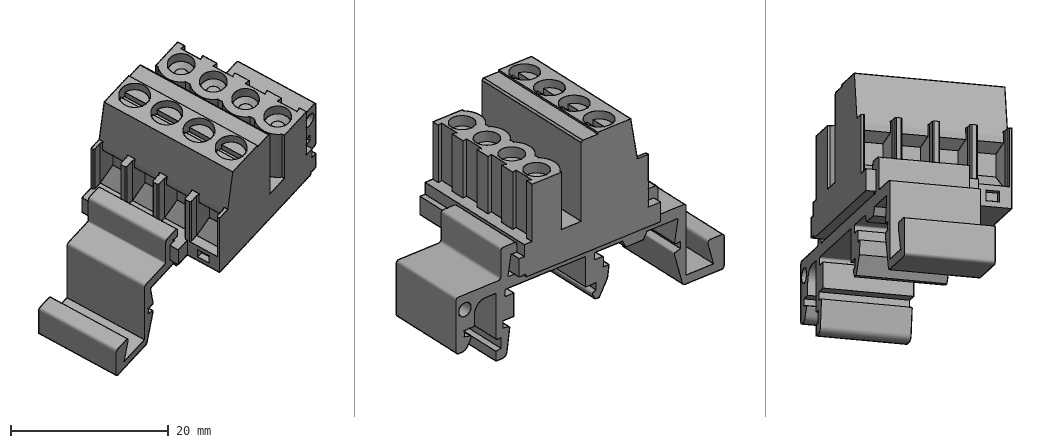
import cadquery as cq
import math


carrier_length = 43.7
carrier_width = 12.05
carrier_left = 1.5
plate_thickness = 1.7
plate_bottom = -plate_thickness
edge_radius = 0.45
small_radius = 0.2

rear_hook_outer = 36.4
rear_hook_tip = 33.8
rear_hook_top = 4.65
rear_hook_under = 3.1
front_hook_outer = 10.85
front_hook_inner = 12.5
front_hook_tip = 13.4
front_hook_top = 4.45
front_hook_under = 2.9

foot_bottom = -11.85
foot_floor = -10.55
foot_lip_top = -6.75
foot_wall = 6.2

shoulder = -2.75
groove_top = -6.2
groove_bottom = -7.25
outer_groove_top = -5.3
outer_groove_bottom = -6.3

pivot_hole_diameter = 2.0
pivot_hole_y = carrier_length - 1.45
pivot_hole_z = -2.25

pole_count = 4
plug_width = 20.0
pitch = plug_width / pole_count
plug_front = 13.55
plug_ledge = 34.6
plug_rear = rear_hook_tip
shoulder_top = 4.85

flange_front = 11.6
flange_width = 15.0
flange_height = 2.9
flange_clearance = 0.15

tower_top = 16.95
tower_step = 0.25
tower_rear = 24.5
tower_step_y = 21.8
tower_front = 16.45
slope_foot = 15.35
rib_top = 10.65

socket_top = 13.3
socket_rear = 32.5
socket_flat = 27.7
socket_center_y = 29.75
socket_round_radius = 2.95
socket_hole_diameter = 3.5
socket_pin_diameter = 1.8
socket_hole_depth = 1.55
socket_cone_depth = 0.45
notch_mouth = 2.75
notch_floor = 3.05
notch_depth = 0.65

screw_y = 19.58
screw_hole_diameter = 4.0
screw_diameter = 3.8
screw_recess = 1.15
screw_slot_width = 0.95
screw_slot_depth = 0.87

rib_width = 0.95
rib_chamfer = 0.17
funnel_mouth_y = 14.9
funnel_depth = 1.9
funnel_mouth_top = 9.35
funnel_end_width = 2.8
funnel_end_bottom = 5.03
funnel_end_top = 8.05

lintel_top = 10.0
slope_run = (slope_foot - tower_front) / (tower_top - rib_top)
lintel_y = slope_foot + slope_run * (rib_top - lintel_top)

window_left = 16.6
window_width = 1.8
window_bottom = 0.75
window_height = 1.4
window_depth = 0.87


def rounded_outline(plane, corners):
    """Closed wire from (u, v) or (u, v, radius) corners, rounding those with a radius."""
    runs = []
    for i, corner in enumerate(corners):
        point = cq.Vector(corner[0], corner[1], 0)
        if len(corner) == 2:
            runs.append([point])
            continue
        radius = corner[2]
        before = corners[i - 1]
        after = corners[(i + 1) % len(corners)]
        to_before = (cq.Vector(before[0], before[1], 0) - point).normalized()
        to_after = (cq.Vector(after[0], after[1], 0) - point).normalized()
        half_angle = to_before.getAngle(to_after) / 2
        setback = radius / math.tan(half_angle)
        apex_distance = radius / math.sin(half_angle) - radius
        bisector = (to_before + to_after).normalized()
        runs.append([
            point + to_before * setback,
            point + bisector * apex_distance,
            point + to_after * setback,
        ])

    outline = cq.Workplane(plane).moveTo(runs[0][-1].x, runs[0][-1].y)
    for run in runs[1:] + runs[:1]:
        outline = outline.lineTo(run[0].x, run[0].y)
        if len(run) == 3:
            outline = outline.threePointArc((run[1].x, run[1].y), (run[2].x, run[2].y))
    return outline.close()


def rear_hook():
    return [
        (rear_hook_outer, 0, edge_radius),
        (rear_hook_outer, rear_hook_top, edge_radius),
        (rear_hook_tip, rear_hook_top, edge_radius),
        (rear_hook_tip, rear_hook_under),
        (34.75, rear_hook_under),
        (35.25, 0, small_radius),
    ]


def front_hook():
    return [
        (front_hook_inner, 0),
        (front_hook_inner, front_hook_under),
        (front_hook_tip, front_hook_under),
        (front_hook_tip, front_hook_top, edge_radius),
        (front_hook_outer, front_hook_top, edge_radius),
        (front_hook_outer, 0, small_radius),
    ]


def front_foot():
    return [
        (foot_wall, 0, edge_radius),
        (foot_wall, foot_floor),
        (1.75, foot_floor),
        (2.8, foot_lip_top, edge_radius),
        (0, foot_lip_top, edge_radius),
        (0, foot_bottom, edge_radius),
        (6.75, foot_bottom, edge_radius),
        (8.17, outer_groove_bottom - 0.3, small_radius),
        (7.12, outer_groove_bottom),
        (7.12, outer_groove_top),
        (8.15, outer_groove_top, small_radius),
        (7.5, plate_bottom, small_radius),
    ]


def stop_rib():
    return [
        (12.6, plate_bottom),
        (13.2, shoulder),
        (16.05, shoulder),
        (16.55, plate_bottom),
    ]


def middle_leg():
    return [
        (21.15, plate_bottom, small_radius),
        (21.15, shoulder, small_radius),
        (19.65, shoulder, small_radius),
        (19.65, -4.33),
        (18.75, -4.33),
        (19.0, groove_top),
        (20.35, -8.55),
        (21.0, -8.55),
        (21.6, -7.55, small_radius),
        (20.9, groove_bottom),
        (20.9, groove_top),
        (22.6, groove_top),
        (22.6, plate_bottom, small_radius),
    ]


def rear_inner_leg():
    return [
        (35.75, plate_bottom, small_radius),
        (35.75, shoulder, small_radius),
        (34.25, shoulder),
        (34.25, groove_top),
        (36.0, groove_top),
        (36.0, groove_bottom),
        (34.9, -7.45, small_radius),
        (35.5, -11.7, 0.87),
        (37.2, -11.7),
        (37.2, -10.25),
        (36.4, -10.1),
        (36.4, -8.55),
        (37.2, -8.55, small_radius),
        (37.2, plate_bottom, small_radius),
    ]


def rear_outer_leg():
    return [
        (40.75, plate_bottom, 1.9),
        (40.75, outer_groove_top),
        (42.35, outer_groove_top),
        (42.35, groove_top),
        (41.1, -6.5, small_radius),
        (42.1, -8.35, 1.15),
        (carrier_length, -8.35, edge_radius),
        (carrier_length, 0, edge_radius),
    ]


def build_carrier():
    corners = (
        rear_hook() + front_hook() + front_foot() + stop_rib()
        + middle_leg() + rear_inner_leg() + rear_outer_leg()
    )
    body = rounded_outline("YZ", corners).extrude(carrier_width)
    hole = (
        cq.Workplane("YZ")
        .center(pivot_hole_y, pivot_hole_z)
        .circle(pivot_hole_diameter / 2)
        .extrude(carrier_width)
    )
    return body.cut(hole).translate((carrier_left, 0, 0))


def pole_x(index):
    return (index + 0.5) * pitch


def at_each_pole(shape):
    """Union of copies of a shape modelled at x = 0, one per pole."""
    copies = cq.Workplane("XY")
    for index in range(pole_count):
        copies = copies.add(shape.translate((pole_x(index), 0, 0)))
    return copies.combine()


def plug_body():
    ledge_bottom = 0.4
    step_top = tower_top - tower_step
    corners = [
        (plug_front, 0),
        (33.45, 0),
        (33.55, ledge_bottom),
        (plug_ledge, ledge_bottom),
        (plug_ledge, rear_hook_under),
        (plug_rear, rear_hook_under),
        (plug_rear, shoulder_top),
        (tower_rear, shoulder_top),
        (tower_rear, step_top - tower_step),
        (tower_rear - tower_step, step_top),
        (tower_step_y, step_top),
        (tower_step_y, tower_top),
        (tower_front, tower_top),
        (slope_foot, rib_top),
        (plug_front, rib_top),
    ]
    return rounded_outline("YZ", corners).extrude(plug_width)


def front_flange():
    flange_depth = plug_front - flange_front
    flange = cq.Workplane("XY").box(flange_width, flange_depth, flange_height, centered=False)
    hook_gap = cq.Workplane("XY").box(
        carrier_width + 2 * flange_clearance,
        front_hook_inner + flange_clearance - flange_front,
        flange_height,
        centered=False,
    )
    hook_gap = hook_gap.translate((carrier_left - flange_clearance, 0, 0))
    return flange.cut(hook_gap).translate((0, flange_front, 0))


def socket_row():
    """Rear row of test sockets: a bar with rounded bulges, notched at the back."""
    height = socket_top - shoulder_top
    bar = cq.Workplane("XY").box(plug_width, socket_rear - socket_flat, height, centered=False)
    bar = bar.translate((0, socket_flat, 0))
    bulges = at_each_pole(
        cq.Workplane("XY").center(0, socket_center_y).circle(socket_round_radius).extrude(height)
    )
    envelope = cq.Workplane("XY").box(plug_width, socket_center_y, height, centered=False)
    row = bar.union(bulges.intersect(envelope))

    notch = (
        cq.Workplane("XY")
        .polyline([
            (-notch_mouth / 2, socket_rear),
            (-notch_floor / 2, socket_rear - notch_depth),
            (notch_floor / 2, socket_rear - notch_depth),
            (notch_mouth / 2, socket_rear),
        ])
        .close()
        .extrude(height)
    )
    return row.cut(at_each_pole(notch)).translate((0, 0, shoulder_top))


def socket_holes():
    hole = cq.Workplane("XY").circle(socket_hole_diameter / 2).extrude(-socket_hole_depth)
    cone = (
        cq.Workplane("XY", origin=(0, 0, -socket_hole_depth))
        .circle(socket_hole_diameter / 2)
        .workplane(offset=-socket_cone_depth)
        .circle(socket_pin_diameter / 2)
        .loft()
    )
    return at_each_pole(hole.union(cone).translate((0, socket_center_y, socket_top)))


def screw_pockets():
    """Space around and above each slotted screw head."""
    bottom = -(screw_recess + screw_slot_depth)
    pocket = cq.Workplane("XY").circle(screw_hole_diameter / 2).extrude(bottom)
    slot = cq.Workplane("XY").rect(screw_diameter, screw_slot_width).extrude(screw_slot_depth)
    head = cq.Workplane("XY").circle(screw_diameter / 2).extrude(screw_slot_depth).cut(slot)
    pocket = pocket.cut(head.translate((0, 0, bottom)))
    return at_each_pole(pocket.translate((0, screw_y, tower_top)))


def wire_bays():
    """Open bays between the front ribs, each ending in a tapered wire funnel."""
    half_bay = (pitch - rib_width) / 2
    lintel_share = (lintel_y - funnel_mouth_y) / funnel_depth
    side_taper = lintel_share * (half_bay - funnel_end_width / 2)
    floor_rise = lintel_share * (funnel_end_bottom - flange_height)
    right_side = [
        (half_bay + rib_chamfer, plug_front),
        (half_bay, plug_front + rib_chamfer),
        (half_bay, funnel_mouth_y),
        (half_bay - side_taper, lintel_y),
        (half_bay - side_taper, slope_foot),
    ]
    left_side = [(-x, y) for x, y in reversed(right_side)]
    bay_plan = (
        cq.Workplane("XY", origin=(0, 0, flange_height))
        .polyline(right_side + left_side)
        .close()
        .extrude(rib_top - flange_height)
    )
    bay_section = (
        cq.Workplane("YZ")
        .polyline([
            (plug_front, flange_height),
            (funnel_mouth_y, flange_height),
            (lintel_y, flange_height + floor_rise),
            (lintel_y, lintel_top),
            (slope_foot, rib_top),
            (plug_front, rib_top),
        ])
        .close()
        .extrude(pitch / 2, both=True)
    )

    mouth_height = funnel_mouth_top - flange_height
    end_height = funnel_end_top - funnel_end_bottom
    end_rise = (funnel_end_bottom + funnel_end_top - flange_height - funnel_mouth_top) / 2
    funnel = (
        cq.Workplane("XZ", origin=(0, funnel_mouth_y, flange_height + mouth_height / 2))
        .rect(2 * half_bay, mouth_height)
        .workplane(offset=-funnel_depth)
        .center(0, end_rise)
        .rect(funnel_end_width, end_height)
        .loft(ruled=True)
    )
    return at_each_pole(bay_plan.intersect(bay_section).union(funnel))


def front_window():
    window = cq.Workplane("XY").box(window_width, window_depth, window_height, centered=False)
    return window.translate((window_left, plug_front, window_bottom))


def build_plug():
    body = plug_body().union(front_flange()).union(socket_row())
    for cavity in (socket_holes(), screw_pockets(), wire_bays(), front_window()):
        body = body.cut(cavity)
    return body


result = build_carrier().union(build_plug())